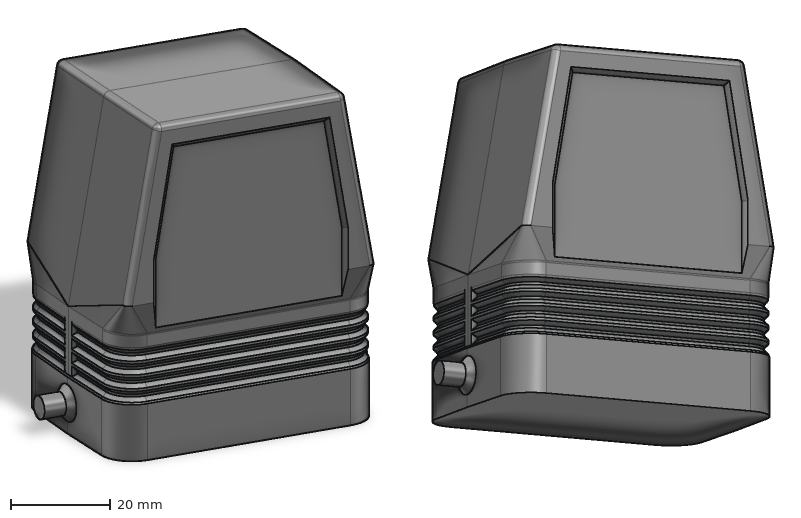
import cadquery as cq
import math

base_half_x = 21.6
base_half_y = 30.15
base_corner_radius = 6.9
parting_slope = math.tan(math.radians(1))
base_top_z = 12.1
collar_inset = 0.2
collar_top_z = 27.2
collar_blend_z = 26.9
collar_blend_flare = 0.04

groove_count = 4
groove_depth = 0.9
groove_floor_height = 0.6
groove_crest_height = 0.62
first_groove_z = 13.7
lip_height = 0.6
lip_inset = 0.11
rib_half_width = 1.5

hood_half_x = 22.5
hood_shoulder_z = 33.95
hood_top_z = 72.0
roof_slope = math.tan(math.radians(0.5))
hood_top_half_y = 21.75
hood_fillet = 1.45

panel_depth = 0.95
panel_low_z = 28.1
panel_bend_z = 42.85
panel_top_z = 66.2
panel_half_y = 21.0
panel_top_half_y = 17.0

peg_z = 6.6
peg_radius = 2.5
peg_tip_y = 36.5
peg_collar_y = 31.6
peg_buried_radius = 4.7

groove_pitch = groove_floor_height + 2 * groove_depth + groove_crest_height
collar_half_x = base_half_x - collar_inset
collar_half_y = base_half_y - collar_inset
collar_corner_radius = base_corner_radius - collar_inset
flared_half_x = collar_half_x + collar_blend_flare
flared_corner_radius = collar_corner_radius + collar_blend_flare
hood_end_slope = (collar_half_y - hood_top_half_y) / (hood_top_z - collar_top_z)
hood_corner_x = hood_half_x - hood_fillet
shoulder_half_y = collar_half_y - hood_end_slope * (hood_shoulder_z - collar_top_z)


def housing_outline(z, half_x, half_y, radius, slope):
    """Closed wire at height z; half_y is measured on the parting plane."""
    side_y = half_y - half_x * slope
    points = [
        (0, half_y), (half_x, side_y), (half_x, -side_y),
        (0, -half_y), (-half_x, -side_y), (-half_x, side_y),
    ]
    face = cq.Face.makeFromWires(cq.Wire.makePolygon([cq.Vector(x, y, z) for x, y in points], close=True))
    corners = [v for v in face.Vertices() if abs(v.X) > half_x / 2]
    return face.fillet2D(radius, corners).outerWire()


def base_outline(z, inset):
    return housing_outline(
        z, base_half_x - inset, base_half_y - inset, base_corner_radius - inset, parting_slope
    )


def ruled_stack(outlines):
    """Solid with straight walls from each outline to the next one above it."""
    layers = [
        cq.Workplane(cq.Solid.makeLoft([lower, upper], True))
        for lower, upper in zip(outlines, outlines[1:])
    ]
    stack = layers[0]
    for layer in layers[1:]:
        stack = stack.union(layer)
    return stack


def make_lower_housing():
    floor_inset = collar_inset + groove_depth
    levels = [(0, 0), (base_top_z, 0)]
    for index in range(groove_count):
        center_z = first_groove_z + index * groove_pitch
        floor_low_z = center_z - groove_floor_height / 2
        floor_high_z = center_z + groove_floor_height / 2
        levels += [
            (floor_low_z - groove_depth, collar_inset),
            (floor_low_z, floor_inset),
            (floor_high_z, floor_inset),
            (floor_high_z + groove_depth, collar_inset),
        ]
    lip_z = levels[-1][0]
    levels[-1] = (lip_z, collar_inset + lip_inset)
    levels += [(lip_z + lip_height, collar_inset), (collar_blend_z, collar_inset)]
    return ruled_stack([base_outline(z, inset) for z, inset in levels])


def make_end_ribs():
    """Upright ribs that interrupt the grooves at the middle of both end faces."""
    root_half_width = rib_half_width + groove_depth
    root_y = collar_half_y - groove_depth
    inner_y = root_y - groove_depth
    rib = (
        cq.Workplane("XY").workplane(offset=base_top_z)
        .polyline([
            (-root_half_width, inner_y), (-root_half_width, root_y),
            (-rib_half_width, collar_half_y - rib_half_width * parting_slope), (0, collar_half_y),
            (rib_half_width, collar_half_y - rib_half_width * parting_slope),
            (root_half_width, root_y), (root_half_width, inner_y),
        ])
        .close().extrude(collar_top_z - base_top_z)
    )
    return rib.union(rib.mirror("XZ"))


def make_shoulder():
    """Flare from the collar to the hood's tighter corners, starting with a narrow band of gentler slope."""
    flat_half_y = shoulder_half_y - hood_corner_x * parting_slope
    outlines = [
        base_outline(collar_blend_z, collar_inset),
        housing_outline(collar_top_z, flared_half_x, collar_half_y, flared_corner_radius, parting_slope),
        housing_outline(hood_shoulder_z, hood_half_x, flat_half_y, hood_fillet, 0),
    ]
    return ruled_stack(outlines)


def make_hood():
    def profile(x):
        drop = x * parting_slope
        bottom_y = collar_half_y - drop
        roof_drop = x * roof_slope
        top_y = hood_top_half_y - drop + hood_end_slope * roof_drop
        top_z = hood_top_z - roof_drop
        corners = [(bottom_y, collar_top_z), (top_y, top_z), (-top_y, top_z), (-bottom_y, collar_top_z)]
        return cq.Wire.makePolygon([cq.Vector(x, y, z) for y, z in corners], close=True)

    half = cq.Workplane(cq.Solid.makeLoft([profile(0), profile(hood_half_x)], True))
    hood = half.union(half.mirror("YZ"))
    rounded_edges = [
        edge for edge in hood.edges().vals()
        if abs(edge.Center().x) > hood_fillet and edge.Center().z > hood_shoulder_z
    ]
    hood = hood.newObject(rounded_edges).fillet(hood_fillet)

    keep = (
        cq.Workplane("XZ")
        .polyline([
            (0, collar_top_z), (hood_corner_x, hood_shoulder_z), (hood_half_x, hood_shoulder_z),
            (hood_half_x, hood_top_z), (-hood_half_x, hood_top_z),
            (-hood_half_x, hood_shoulder_z), (-hood_corner_x, hood_shoulder_z),
        ])
        .close().extrude(collar_half_y, both=True)
    )
    return hood.intersect(keep)


def make_panel_cutter():
    """Recess in the +X side face, with walls sloping outward at 45 degrees and mitred corners."""
    floor_x = hood_half_x - panel_depth
    wall_reach = 2 * panel_depth
    floor = (
        cq.Workplane("YZ").workplane(offset=floor_x)
        .polyline([
            (-panel_half_y, panel_low_z), (panel_half_y, panel_low_z),
            (panel_half_y, panel_bend_z), (panel_top_half_y, panel_top_z),
            (-panel_top_half_y, panel_top_z), (-panel_half_y, panel_bend_z),
        ])
        .close().val()
    )
    mouth = floor.offset2D(wall_reach, "intersection")[0].translate(cq.Vector(wall_reach, 0, 0))
    return cq.Workplane(cq.Solid.makeLoft([floor, mouth], True))


def make_peg():
    """Locking peg on the +Y end face; its 45 degree conical root runs on inside the housing."""
    root_y = peg_collar_y - (peg_buried_radius - peg_radius)
    return (
        cq.Workplane("XY")
        .polyline([
            (0, root_y), (peg_buried_radius, root_y),
            (peg_radius, peg_collar_y), (peg_radius, peg_tip_y), (0, peg_tip_y),
        ])
        .close().revolve(360, (0, 0, 0), (0, 1, 0))
        .translate((0, 0, peg_z))
    )


panel_cutter = make_panel_cutter()
peg = make_peg()

result = make_lower_housing().union(make_end_ribs()).union(make_shoulder()).union(make_hood())
result = result.cut(panel_cutter).cut(panel_cutter.mirror("YZ"))
result = result.union(peg).union(peg.mirror("XZ"))